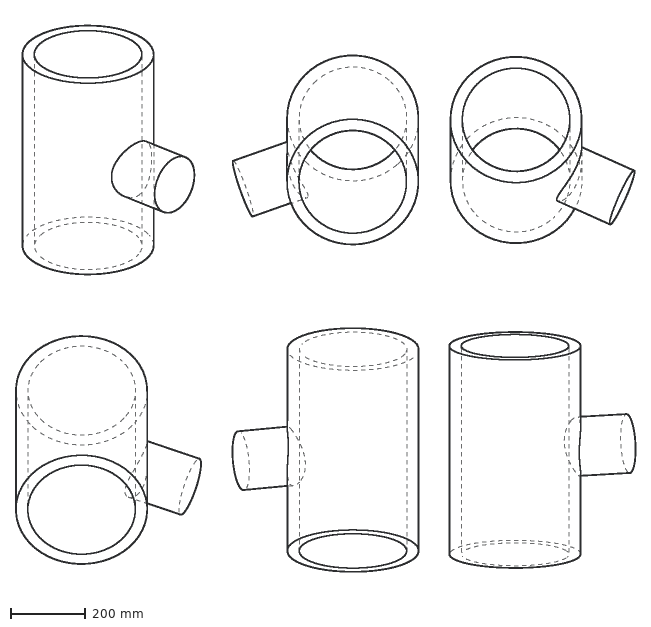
import cadquery as cq

pipe_length = 575.0
pipe_diameter = 355.0
pipe_wall = 32.0
bore_diameter = pipe_diameter - 2 * pipe_wall

branch_diameter = 160.0
overall_width = 493.5
branch_reach = overall_width - pipe_diameter / 2


def upright_cylinder(diameter):
    """Cylinder of the full pipe length, centred on the pipe axis."""
    return cq.Workplane("XY").circle(diameter / 2).extrude(pipe_length / 2, both=True)


def branch():
    """Round branch from the pipe axis out to its free end."""
    return cq.Workplane("YZ").circle(branch_diameter / 2).extrude(branch_reach)


result = upright_cylinder(pipe_diameter).union(branch()).cut(upright_cylinder(bore_diameter))